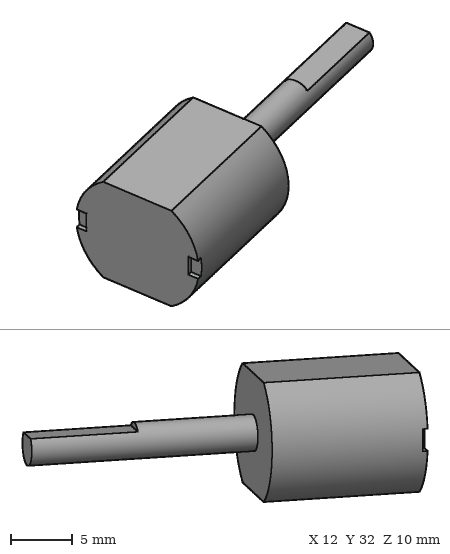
import cadquery as cq

body_diameter = 12.0
body_height = 10.0
body_length = 13.05
total_length = 32.0

shaft_diameter = 3.0
shaft_length = total_length - body_length
flat_length = 9.0
flat_thickness = 2.5

notch_height = 1.85
notch_depth = 1.02
notch_length = 0.4


def cylinder_along_y(diameter, length, start_y):
    """Cylinder on the Y axis, running toward +Y from start_y."""
    return cq.Workplane("XZ", origin=(0, start_y, 0)).circle(diameter / 2).extrude(-length)


def make_body():
    flats = cq.Workplane("XY").box(body_diameter, body_length, body_height, centered=(True, False, True))
    body = cylinder_along_y(body_diameter, body_length, 0).intersect(flats)
    for side in (-1, 1):
        notch = cq.Workplane("XY").box(2 * notch_depth, 2 * notch_length, notch_height)
        body = body.cut(notch.translate((side * body_diameter / 2, 0, 0)))
    return body


def make_shaft():
    shaft = cylinder_along_y(shaft_diameter, shaft_length, body_length)
    flat_z = flat_thickness - shaft_diameter / 2
    flat_cutter = cq.Workplane("XY", origin=(0, total_length - flat_length, flat_z)).box(
        shaft_diameter, flat_length, shaft_diameter, centered=(True, False, False)
    )
    return shaft.cut(flat_cutter)


result = make_body().union(make_shaft())